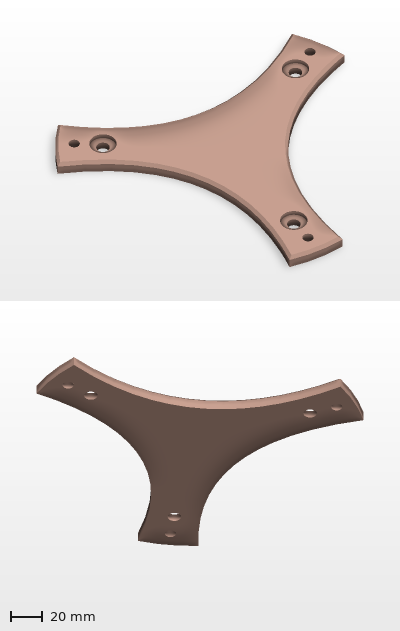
import cadquery as cq
import math

overall_width = 206.7
thickness = 8.0
end_radius = 110.0
valley_distance = 36.0
edge_chamfer = 2.0

arm_count = 3
arm_pitch = 360.0 / arm_count
first_arm_angle = 90.0
lower_right_arm_tilt = 30.0
arm_half_angle = lower_right_arm_tilt - math.degrees(math.acos(overall_width / 2 / end_radius))

outer_hole_diameter = 7.0
outer_hole_distance = 98.0
bolt_hole_diameter = 8.5
bolt_hole_distance = 80.0
counterbore_diameter = 17.2
counterbore_depth = 3.0


def polar_point(radius, angle):
    """Point at a distance and an angle in degrees from the plate center."""
    radians = math.radians(angle)
    return (radius * math.cos(radians), radius * math.sin(radians))


arm_angles = [first_arm_angle + i * arm_pitch for i in range(arm_count)]


def make_plate():
    """Three-armed plate with round arm ends and smooth concave sides."""
    outline = cq.Workplane("XY").moveTo(*polar_point(end_radius, first_arm_angle - arm_half_angle))
    for angle in arm_angles:
        arm_tip = polar_point(end_radius, angle)
        arm_corner = polar_point(end_radius, angle + arm_half_angle)
        valley = polar_point(valley_distance, angle + arm_pitch / 2)
        next_corner = polar_point(end_radius, angle + arm_pitch - arm_half_angle)
        outline = outline.threePointArc(arm_tip, arm_corner)
        outline = outline.spline([valley, next_corner], includeCurrent=True)
    plate = outline.close().extrude(thickness)
    return plate.faces(">Z").chamfer(edge_chamfer)


def drill_arms(plate):
    """Plain outer hole and counterbored bolt hole on every arm."""
    outer_holes = [polar_point(outer_hole_distance, angle) for angle in arm_angles]
    bolt_holes = [polar_point(bolt_hole_distance, angle) for angle in arm_angles]
    top = cq.Workplane("XY").workplane(offset=thickness)
    outer_bores = top.pushPoints(outer_holes).circle(outer_hole_diameter / 2).extrude(-thickness)
    bolt_bores = top.pushPoints(bolt_holes).circle(bolt_hole_diameter / 2).extrude(-thickness)
    counterbores = top.pushPoints(bolt_holes).circle(counterbore_diameter / 2).extrude(-counterbore_depth)
    return plate.cut(outer_bores).cut(bolt_bores).cut(counterbores)


result = drill_arms(make_plate())